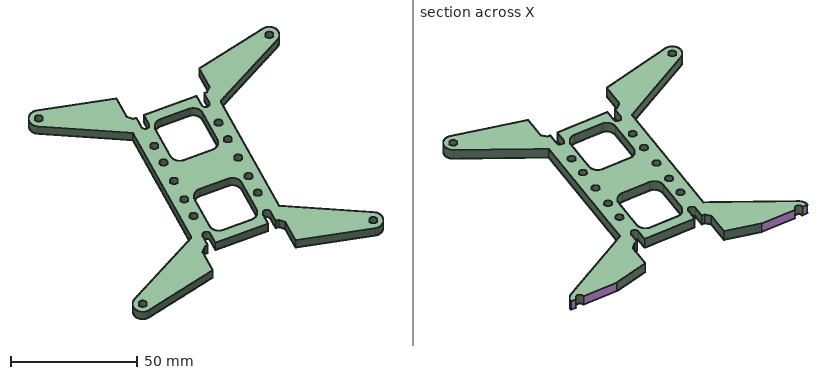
import cadquery as cq
import math

overall_size = 108.0
thickness = 5.0
hole_diameter = 3.2

plate_half_length = 34.5
plate_half_width = 19.0

tip_radius = 4.0
tip_offset = overall_size / 2 - tip_radius
arm_outer_x = 46.3
arm_inner_x = 28.2
arm_base_y = 17.9
arm_relief = 1.9

slot_width = 3.2
slot_center_y = 13.1
slot_inner_x = 27.9

window_inner_x = 7.8
window_outer_x = 29.9
window_width = 20.3
window_corner_radius = 4.0

row_hole_x = (-18.9, -9.9, 0, 9.9, 18.9)
row_y = 13.9

relief_x = plate_half_length + arm_relief
relief_y = arm_base_y - arm_relief


def tangent_point(x, y, side):
    """Point where the line from (x, y) touches the tip circle.

    side = 1 turns counter-clockwise from the direction towards (x, y), -1 clockwise.
    """
    dx = x - tip_offset
    dy = y - tip_offset
    angle = math.atan2(dy, dx) + side * math.acos(tip_radius / math.hypot(dx, dy))
    return (tip_offset + tip_radius * math.cos(angle), tip_offset + tip_radius * math.sin(angle))


def quarter_plate():
    """One quarter of the plate with its arm, in the +X +Y quadrant."""
    diagonal = tip_offset + tip_radius * math.sqrt(0.5)
    return (
        cq.Workplane("XY")
        .lineTo(plate_half_length, 0)
        .lineTo(plate_half_length, relief_y)
        .lineTo(relief_x, arm_base_y)
        .lineTo(arm_outer_x, arm_base_y)
        .lineTo(*tangent_point(arm_outer_x, arm_base_y, 1))
        .threePointArc((diagonal, diagonal), tangent_point(arm_inner_x, plate_half_width, -1))
        .lineTo(arm_inner_x, plate_half_width)
        .lineTo(0, plate_half_width)
        .close()
        .extrude(thickness)
    )


def full_plate():
    quarter = quarter_plate()
    half = quarter.union(quarter.mirror("YZ"))
    return half.union(half.mirror("XZ")).clean()


def end_slots():
    """Round-ended cutters, running out past the plate ends."""
    length = 2 * (plate_half_length - slot_inner_x)
    center_x = slot_inner_x + length / 2
    centers = [(sx * center_x, sy * slot_center_y) for sx in (-1, 1) for sy in (-1, 1)]
    return cq.Workplane("XY").pushPoints(centers).slot2D(length, slot_width).extrude(thickness)


def windows():
    length = window_outer_x - window_inner_x
    center_x = (window_outer_x + window_inner_x) / 2
    return (
        cq.Workplane("XY")
        .pushPoints([(-center_x, 0), (center_x, 0)])
        .rect(length, window_width)
        .extrude(thickness)
        .edges("|Z")
        .fillet(window_corner_radius)
    )


def holes():
    tips = [(sx * tip_offset, sy * tip_offset) for sx in (-1, 1) for sy in (-1, 1)]
    rows = [(x, sy * row_y) for x in row_hole_x for sy in (-1, 1)]
    return cq.Workplane("XY").pushPoints(tips + rows).circle(hole_diameter / 2).extrude(thickness)


result = full_plate().cut(end_slots()).cut(windows()).cut(holes())